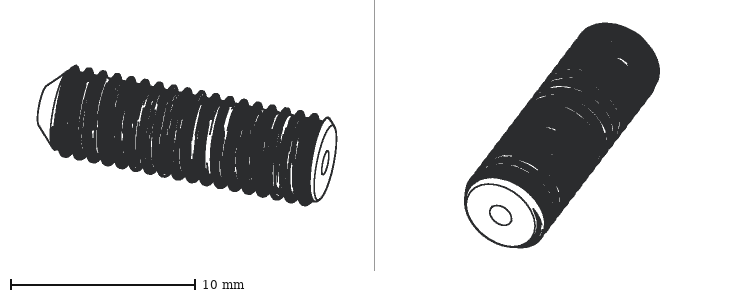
import cadquery as cq
import math

length = 16.0
major_diameter = 5.0
thread_depth = 0.3
pitch = 0.8
crest_flat = 0.1
flank_half_angle = 30.0
point_diameter = 2.27
bore_diameter = 1.31
cup_half_angle = 59.0
end_chamfer = 0.42
crest_angle = 180.0
clearance = 0.32
flank_points = 12

major_radius = major_diameter / 2
minor_radius = major_radius - thread_depth
point_radius = point_diameter / 2
bore_radius = bore_diameter / 2
blank_radius = major_radius + clearance
point_length = blank_radius - point_radius
cup_depth = (point_radius - bore_radius) / math.tan(math.radians(cup_half_angle))


def make_blank():
    """Revolve the oversize blank, with its point, cup, bore and end chamfer."""
    return (
        cq.Workplane("XY")
        .moveTo(cup_depth, bore_radius)
        .lineTo(0, point_radius)
        .lineTo(point_length, blank_radius)
        .lineTo(length - end_chamfer - clearance, blank_radius)
        .lineTo(length, major_radius - end_chamfer)
        .lineTo(length, bore_radius)
        .close()
        .revolve(360, (0, 0, 0), (1, 0, 0))
    )


def make_threaded_rod():
    """Twist the cross-section of a right-hand thread along X, one pitch past both ends."""
    turn = 2 * math.pi
    flank_width = thread_depth * math.tan(math.radians(flank_half_angle))
    flank_angle = turn * flank_width / pitch
    half_crest_angle = turn * crest_flat / 2 / pitch
    half_foot_angle = half_crest_angle + flank_angle
    middle = math.radians(crest_angle)

    def at(radius, angle):
        """Point of the section at an angle from the middle of the crest."""
        return (radius * math.cos(middle + angle), radius * math.sin(middle + angle))

    def rising_flank(t):
        x, y = at(minor_radius + thread_depth * t, -half_foot_angle + flank_angle * t)
        return (x, y, 0)

    def falling_flank(t):
        x, y = at(major_radius - thread_depth * t, half_crest_angle + flank_angle * t)
        return (x, y, 0)

    section = (
        cq.Workplane("YZ", origin=(-pitch, 0, 0))
        .parametricCurve(rising_flank, N=flank_points, makeWire=False)
        .moveTo(*at(major_radius, -half_crest_angle))
        .threePointArc(at(major_radius, 0), at(major_radius, half_crest_angle))
        .parametricCurve(falling_flank, N=flank_points, makeWire=False)
        .moveTo(*at(minor_radius, half_foot_angle))
        .threePointArc(at(minor_radius, math.pi), at(minor_radius, -half_foot_angle))
        .wire()
    )
    rod_length = length + 2 * pitch
    return section.twistExtrude(rod_length, 360 * rod_length / pitch)


result = make_threaded_rod().intersect(make_blank())